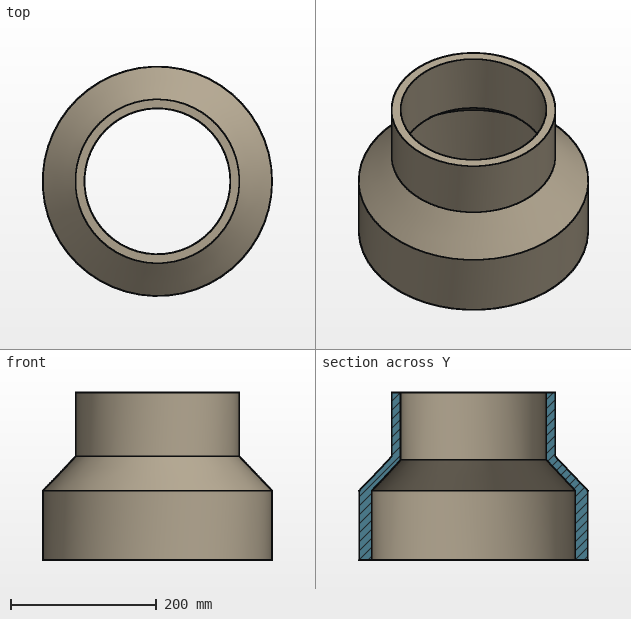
import cadquery as cq

wide_diameter = 315.0
narrow_diameter = 225.0
wide_wall = 18.0
narrow_wall = 12.5

total_height = 230.0
wide_height = 95.0
narrow_height = 87.5
narrow_bore_depth = 92.5


def stepped_cone(wide_radius, narrow_radius, narrow_length):
    """Solid of a wide and a narrow cylinder joined by a cone."""
    cone_top = total_height - narrow_length
    profile = [
        (0, 0),
        (wide_radius, 0),
        (wide_radius, wide_height),
        (narrow_radius, cone_top),
        (narrow_radius, total_height),
        (0, total_height),
    ]
    return cq.Workplane("XZ").polyline(profile).close().revolve(360, (0, 0, 0), (0, 1, 0))


outer_wide_radius = wide_diameter / 2
outer_narrow_radius = narrow_diameter / 2

body = stepped_cone(outer_wide_radius, outer_narrow_radius, narrow_height)
bore = stepped_cone(
    outer_wide_radius - wide_wall,
    outer_narrow_radius - narrow_wall,
    narrow_bore_depth,
)

result = body.cut(bore)